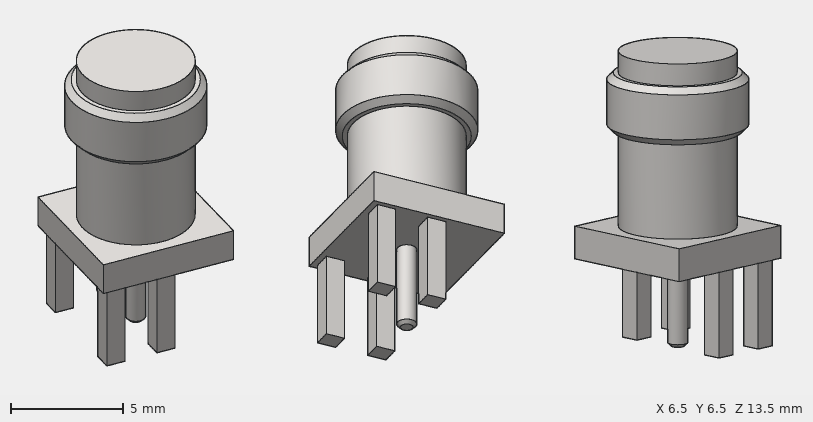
import cadquery as cq

total_height = 13.5
base_side = 6.5
base_thickness = 1.5
leg_length = 4.0

barrel_diameter = 5.3
collar_diameter = 6.35
collar_height = 2.65
collar_chamfer = 0.3
collar_chamfer_width = 0.3
barrel_above_collar = 1.0

leg_width = 0.9
leg_x = 2.55
front_leg_y = -2.5
pin_diameter = 0.9
pin_chamfer = 0.16

base_top = leg_length + base_thickness
collar_bottom = total_height - barrel_above_collar - collar_height


def make_base():
    return (
        cq.Workplane("XY", origin=(0, 0, leg_length))
        .rect(base_side, base_side)
        .extrude(base_thickness)
    )


def make_barrel():
    return (
        cq.Workplane("XY", origin=(0, 0, base_top))
        .circle(barrel_diameter / 2)
        .extrude(total_height - base_top)
    )


def make_collar():
    """Ring around the barrel, bevelled on both outer edges."""
    return (
        cq.Workplane("XY", origin=(0, 0, collar_bottom))
        .circle(collar_diameter / 2)
        .extrude(collar_height)
        .edges("%CIRCLE")
        .chamfer(collar_chamfer, collar_chamfer_width)
    )


def make_legs():
    """Four square legs: one pair on the centre line, one pair near the -Y side."""
    positions = [(x, y) for x in (-leg_x, leg_x) for y in (0, front_leg_y)]
    return (
        cq.Workplane("XY")
        .pushPoints(positions)
        .rect(leg_width, leg_width)
        .extrude(leg_length)
    )


def make_pin():
    """Central round pin with a bevelled tip."""
    return (
        cq.Workplane("XY")
        .circle(pin_diameter / 2)
        .extrude(leg_length)
        .faces("<Z")
        .chamfer(pin_chamfer)
    )


result = (
    make_base()
    .union(make_barrel())
    .union(make_collar())
    .union(make_legs())
    .union(make_pin())
)